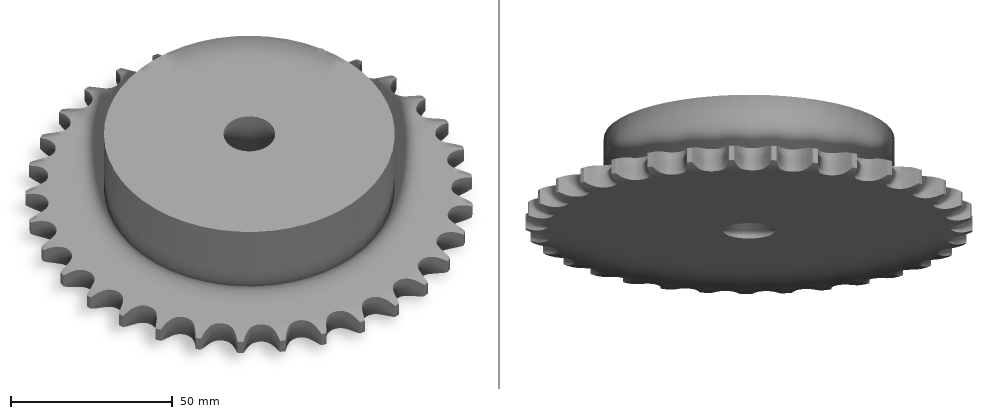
import cadquery as cq
import math

TOOTH_COUNT = 33
CHAIN_PITCH = 12.7
ROLLER_DIAMETER = 8.51
TIP_RADIUS = 69.2
PLATE_THICKNESS = 7.2
HUB_DIAMETER = 90.0
BORE_DIAMETER = 16.0
TOTAL_HEIGHT = 30.0

TOOTH_SIDE_RADIUS = 13.0
TOOTH_SIDE_RELIEF = 1.3

TOOTH_ANGLE = 360.0 / TOOTH_COUNT
PITCH_RADIUS = CHAIN_PITCH / (2 * math.sin(math.pi / TOOTH_COUNT))
SEAT_CLEARANCE = 0.0381
SEAT_RADIUS = 0.5025 * ROLLER_DIAMETER + SEAT_CLEARANCE
SEAT_END_ANGLE = 125.0 + 60.0 / TOOTH_COUNT
WORKING_SWEEP = 18.0 - 56.0 / TOOTH_COUNT
WORKING_CENTER_OFFSET = 0.8 * ROLLER_DIAMETER
WORKING_RADIUS = SEAT_RADIUS + WORKING_CENTER_OFFSET
TOPPING_CENTER_OFFSET = 1.4 * ROLLER_DIAMETER
TOPPING_SLOPE = math.radians(17.0 - 64.0 / TOOTH_COUNT)
FLANK_LENGTH = (
    TOPPING_CENTER_OFFSET * math.sin(TOPPING_SLOPE)
    - WORKING_CENTER_OFFSET * math.sin(math.radians(WORKING_SWEEP))
)
TOPPING_RADIUS = (
    TOPPING_CENTER_OFFSET * math.cos(TOPPING_SLOPE)
    + WORKING_CENTER_OFFSET * math.cos(math.radians(WORKING_SWEEP))
    - WORKING_RADIUS
)

FIRST_TOOTH_ANGLE = -90.0
AXIS_POINT = (0.0, 0.0)


def offset_point(origin, distance, angle):
    """Point at a distance from the origin, in the direction of an angle in degrees."""
    direction = math.radians(angle)
    return (
        origin[0] + distance * math.cos(direction),
        origin[1] + distance * math.sin(direction),
    )


def direction_between(start, end):
    """Angle in degrees of the direction from one point to another."""
    return math.degrees(math.atan2(end[1] - start[1], end[0] - start[0]))


def gap_flank_points():
    """Points up the +Y side of a tooth gap centred on +X, from the end of the seat to the tooth tip."""
    seat_center = (PITCH_RADIUS, 0.0)
    working_center = offset_point(seat_center, -WORKING_CENTER_OFFSET, SEAT_END_ANGLE)
    flank_normal = SEAT_END_ANGLE - WORKING_SWEEP
    seat_end = offset_point(seat_center, SEAT_RADIUS, SEAT_END_ANGLE)
    working_middle = offset_point(working_center, WORKING_RADIUS, SEAT_END_ANGLE - WORKING_SWEEP / 2)
    flank_start = offset_point(working_center, WORKING_RADIUS, flank_normal)
    flank_end = offset_point(flank_start, FLANK_LENGTH, flank_normal - 90.0)

    topping_center = offset_point(flank_end, TOPPING_RADIUS, flank_normal)
    center_distance = math.hypot(*topping_center)
    tip_cosine = (TIP_RADIUS**2 + center_distance**2 - TOPPING_RADIUS**2) / (2 * TIP_RADIUS * center_distance)
    tip_angle = direction_between(AXIS_POINT, topping_center) - math.degrees(math.acos(tip_cosine))
    tip = offset_point(AXIS_POINT, TIP_RADIUS, tip_angle)
    topping_start_angle = flank_normal - 180.0
    topping_end_angle = direction_between(topping_center, tip)
    topping_middle = offset_point(
        topping_center, TOPPING_RADIUS, (topping_start_angle + topping_end_angle) / 2
    )
    return seat_end, working_middle, flank_start, flank_end, topping_middle, tip


def rotated(point, angle):
    """Point turned about the sprocket axis by an angle in degrees."""
    return offset_point(AXIS_POINT, math.hypot(*point), direction_between(AXIS_POINT, point) + angle)


def mirrored(point):
    """Point on the opposite side of the gap centreline."""
    return (point[0], -point[1])


def toothed_plate():
    rising_side = gap_flank_points()
    falling_side = [mirrored(point) for point in rising_side]
    seat_bottom = (PITCH_RADIUS - SEAT_RADIUS, 0.0)
    first_gap_angle = FIRST_TOOTH_ANGLE + TOOTH_ANGLE / 2

    outline = cq.Workplane("XY").moveTo(*rotated(falling_side[-1], first_gap_angle))
    for gap in range(TOOTH_COUNT):
        gap_angle = first_gap_angle + gap * TOOTH_ANGLE
        next_gap_angle = gap_angle + TOOTH_ANGLE
        seat_end, working_middle, flank_start, flank_end, topping_middle, tip = [
            rotated(point, gap_angle) for point in rising_side
        ]
        entry_seat_end, entry_working_middle, entry_flank_start, entry_flank_end, entry_topping_middle = [
            rotated(point, gap_angle) for point in falling_side[:-1]
        ]
        tooth_top = offset_point(AXIS_POINT, TIP_RADIUS, gap_angle + TOOTH_ANGLE / 2)
        next_tip = rotated(falling_side[-1], next_gap_angle)
        outline = (
            outline.threePointArc(entry_topping_middle, entry_flank_end)
            .lineTo(*entry_flank_start)
            .threePointArc(entry_working_middle, entry_seat_end)
            .threePointArc(rotated(seat_bottom, gap_angle), seat_end)
            .threePointArc(working_middle, flank_start)
            .lineTo(*flank_end)
            .threePointArc(topping_middle, tip)
            .threePointArc(tooth_top, next_tip)
        )
    return outline.close().extrude(PLATE_THICKNESS)


def rounded_envelope():
    """Disc whose rim curves in on both faces, which gives the teeth their rounded sides."""
    arc_depth = math.sqrt(TOOTH_SIDE_RADIUS**2 - (TOOTH_SIDE_RADIUS - TOOTH_SIDE_RELIEF) ** 2)
    face_radius = TIP_RADIUS - arc_depth
    half_sweep = math.asin(arc_depth / TOOTH_SIDE_RADIUS) / 2
    middle_radius = face_radius + TOOTH_SIDE_RADIUS * math.sin(half_sweep)
    middle_relief = TOOTH_SIDE_RADIUS * (1 - math.cos(half_sweep))
    return (
        cq.Workplane("XZ")
        .lineTo(face_radius, 0)
        .threePointArc((middle_radius, middle_relief), (TIP_RADIUS, TOOTH_SIDE_RELIEF))
        .lineTo(TIP_RADIUS, PLATE_THICKNESS - TOOTH_SIDE_RELIEF)
        .threePointArc((middle_radius, PLATE_THICKNESS - middle_relief), (face_radius, PLATE_THICKNESS))
        .lineTo(0, PLATE_THICKNESS)
        .close()
        .revolve(360, (0, 0, 0), (0, 1, 0))
    )


def hub():
    return cq.Workplane("XY").circle(HUB_DIAMETER / 2).extrude(TOTAL_HEIGHT)


def bore():
    return cq.Workplane("XY").circle(BORE_DIAMETER / 2).extrude(TOTAL_HEIGHT)


result = toothed_plate().intersect(rounded_envelope()).union(hub()).cut(bore())